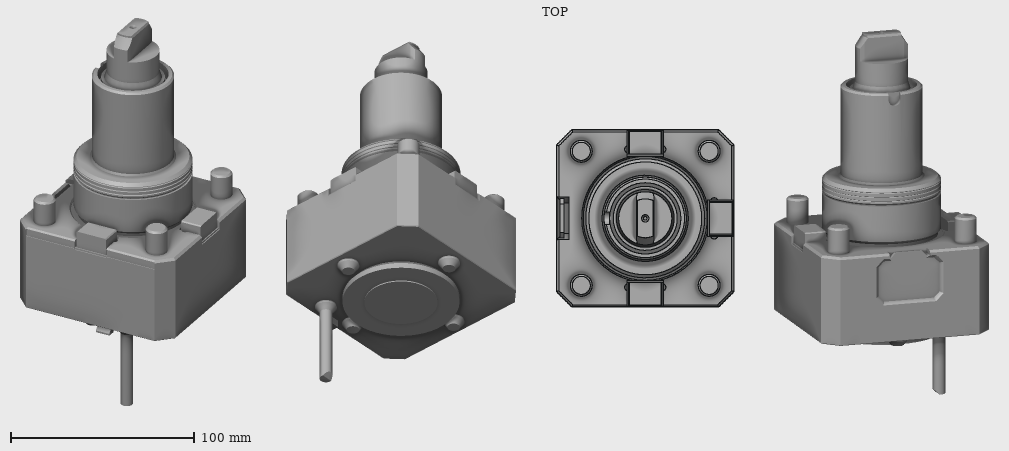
import cadquery as cq


OVERALL_HEIGHT = 210.3

EMBED = 2.0

HOUSING_WIDTH = 97.0
HOUSING_HEIGHT = 49.6
HOUSING_CORNER = 8.5
HOUSING_TOP_BEVEL = 1.3
HOUSING_BOTTOM_BEVEL = 0.5
HALF_WIDTH = HOUSING_WIDTH / 2
FRONT_LEDGE_DEPTH = 0.5
FRONT_LEDGE_HEIGHT = 5.0

RING_GROOVE_RADIUS = 33.9
RING_GROOVE_DEPTH = 1.0
RING_GROOVE_BEVEL = 0.8

TAB_WIDTH = 18.5
TAB_INNER = 35.1
TAB_OUTER = 47.3
TAB_RISE = 5.3
TAB_BEVEL = 0.6
TAB_CLEARANCE = 0.6
TAB_NOTCH_DEPTH = 5.7
TAB_FOOT_HEIGHT = 1.0
TAB_FOOT_REACH = 0.6
TAB_RELIEF_DIAMETER = 4.0
TAB_RELIEF_PLACE = 37.6

RECESS_WIDTH = 38.7
RECESS_BOTTOM = 20.8
RECESS_TOP = 47.0
RECESS_CORNER = 4.2
RECESS_DEPTH = 1.9
RECESS_BEVEL = 1.7
MOUTH_WIDTH = 23.3
MOUTH_DEPTH = 6.7
MOUTH_BEVEL = 3.4
COVER_TOP = 49.2
COVER_TOP_WIDTH = 15.5
COVER_THICKNESS = 2.0

PIN_DIAMETER = 12.0
PIN_X = 35.0
PIN_Y = 36.5
PIN_RISE = 14.3
PIN_BEVEL = 1.0

COLLAR_DIAMETER = 65.0
COLLAR_TOP = 72.0
COLLAR_FOOT_BEVEL = 1.7
COLLAR_FOOT_RISE = 0.6
COLLAR_FOOT = HOUSING_HEIGHT + COLLAR_FOOT_RISE
NECK_DEPTH = 1.3
NECK_HEIGHT = 0.5
FLANGE_BOTTOM = 73.4
FLANGE_TOP = 81.5
FLANGE_BEVEL = 1.7
RIB_GROOVE_DEPTH = 0.6
RIB_GROOVE_HALF_WIDTH = 0.32
RIB_GROOVE_COUNT = 3
RIB_PITCH = 2.3
RIB_GROOVE_START = 1.3
FIRST_RIB_GROOVE = FLANGE_BOTTOM + RIB_GROOVE_START
SHAFT_DIAMETER = 45.0
SHAFT_TOP = 132.7
SHAFT_BEVEL = 1.0
SHAFT_FOOT = 1.0

BORE_DIAMETER = 39.0
BORE_DEPTH = 7.0
HUB_DIAMETER = 35.0
HUB_TOP = 130.8
KEY_WIDTH = 7.0
KEY_DEPTH = 7.0

KNOB_DIAMETER = 29.0
KNOB_SKIRT_DIAMETER = 31.5
KNOB_SKIRT_RISE = 2.0
KNOB_SKIRT_TOP = SHAFT_TOP + KNOB_SKIRT_RISE
KNOB_SHOULDER = 147.6
BLADE_TOP = 161.7
BLADE_WIDTH = 9.7
BLADE_END_WIDTH = 8.2
BLADE_FLAT_LENGTH = 22.7
BLADE_TOP_LENGTH = 21.2
BLADE_TOP_BEVEL = 0.6
BLADE_TOP_BEVEL_HEIGHT = 1.3
BLADE_SLOPE_START = 154.8
BLADE_SLOPE_END = 160.7
CENTRE_MARK_DIAMETER = 4.0
CENTRE_MARK_TIP = 2.0
CENTRE_MARK_DEPTH = 1.3

CAP_NECK_DIAMETER = 58.9
CAP_NECK_DEPTH = 3.0
CAP_DIAMETER = 64.0
CAP_DEPTH = 6.0
CAP_BOSS_DIAMETER = 40.0
CAP_BOSS_DEPTH = 6.7
SCREW_DIAMETER = 12.0
SCREW_TIP_DIAMETER = 7.0
SCREW_RIM = 1.3
SCREW_HEIGHT = 4.5
SCREW_PLACE = 38.7
SCREW_OFFSET = -4.0
CABLE_DIAMETER = 7.0
CABLE_X = 17.7
CABLE_Y = -39.1
CABLE_LENGTH = OVERALL_HEIGHT - BLADE_TOP
CABLE_BEVEL = 2.7
CLIP_START = 3.2
CLIP_LENGTH = 8.5
CLIP_INNER = -43.1
CLIP_SHOULDER = -44.2
CLIP_OUTER = -47.7
CLIP_DEPTH = 4.2
CLIP_LIP = 1.0


def cylinder(diameter, bottom, top, x=0.0, y=0.0):
    """Upright cylinder between two heights."""
    base = cq.Workplane("XY", origin=(x, y, bottom))
    return base.circle(diameter / 2).extrude(top - bottom)


def block(x_min, x_max, y_min, y_max, z_min, z_max):
    """Axis-aligned block between its limits."""
    base = cq.Workplane("XY", origin=((x_min + x_max) / 2, (y_min + y_max) / 2, z_min))
    return base.rect(x_max - x_min, y_max - y_min).extrude(z_max - z_min)


def revolved(profile):
    """Solid of revolution about Z from (radius, height) points."""
    return cq.Workplane("XZ").polyline(profile).close().revolve(360, (0, 0, 0), (0, 1, 0))


def turned(solid, angle):
    """Solid rotated about the Z axis."""
    return solid.rotate((0, 0, 0), (0, 0, 1), angle)


def make_housing():
    body = block(-HALF_WIDTH, HALF_WIDTH, -HALF_WIDTH, HALF_WIDTH, 0, HOUSING_HEIGHT)
    body = body.edges("|Z").chamfer(HOUSING_CORNER)
    body = body.faces(">Z").edges().chamfer(HOUSING_TOP_BEVEL)
    body = body.faces("<Z").edges().chamfer(HOUSING_BOTTOM_BEVEL)
    ledge_half = HALF_WIDTH - HOUSING_CORNER
    ledge = block(
        -ledge_half, ledge_half,
        -HALF_WIDTH, FRONT_LEDGE_DEPTH - HALF_WIDTH,
        HOUSING_HEIGHT - FRONT_LEDGE_HEIGHT, HOUSING_HEIGHT,
    )
    floor = HOUSING_HEIGHT - RING_GROOVE_DEPTH
    groove = revolved([
        (0, floor),
        (RING_GROOVE_RADIUS, floor),
        (RING_GROOVE_RADIUS, HOUSING_HEIGHT - RING_GROOVE_BEVEL),
        (RING_GROOVE_RADIUS + RING_GROOVE_BEVEL, HOUSING_HEIGHT),
        (0, HOUSING_HEIGHT),
    ])
    return body.cut(ledge).cut(groove)


def make_tab_notch():
    """Clearance for the tab on the -Y side, with round reliefs near its inner end."""
    half = TAB_WIDTH / 2 + TAB_CLEARANCE
    bottom = HOUSING_HEIGHT - TAB_NOTCH_DEPTH
    notch = block(-half, half, -HALF_WIDTH, -RING_GROOVE_RADIUS, bottom, HOUSING_HEIGHT)
    for side in (-1, 1):
        x = side * TAB_WIDTH / 2
        notch = notch.union(cylinder(TAB_RELIEF_DIAMETER, bottom, HOUSING_HEIGHT, x, -TAB_RELIEF_PLACE))
    return notch


def make_tab():
    """Tab on the -Y side; its wider foot rests on the notch floor."""
    bottom = HOUSING_HEIGHT - TAB_NOTCH_DEPTH
    half = TAB_WIDTH / 2
    tab = block(-half, half, -TAB_OUTER, -TAB_INNER, bottom, HOUSING_HEIGHT + TAB_RISE)
    tab = tab.faces(">Z").edges("|Y").chamfer(TAB_BEVEL)
    foot_half = half + TAB_CLEARANCE
    foot = block(
        -foot_half, foot_half,
        -TAB_OUTER - TAB_FOOT_REACH, -TAB_INNER,
        bottom, bottom + TAB_FOOT_HEIGHT,
    )
    return tab.union(foot)


def make_cover_recess():
    """Rounded side recess with a mouth open to the top; the cover stands in the mouth."""
    face = cq.Workplane("YZ", origin=(-HALF_WIDTH, 0, (RECESS_BOTTOM + RECESS_TOP) / 2))
    recess = face.rect(RECESS_WIDTH, RECESS_TOP - RECESS_BOTTOM).extrude(RECESS_DEPTH)
    recess = recess.edges("|X").chamfer(RECESS_CORNER)
    recess = recess.faces(">X").edges().chamfer(RECESS_BEVEL)
    mouth_floor = RECESS_TOP - MOUTH_BEVEL
    mouth = block(
        -HALF_WIDTH, MOUTH_DEPTH - HALF_WIDTH,
        -MOUTH_WIDTH / 2, MOUTH_WIDTH / 2,
        mouth_floor, HOUSING_HEIGHT,
    )
    mouth = mouth.edges("|X and <Z").chamfer(MOUTH_BEVEL)
    cover = [
        (-MOUTH_WIDTH / 2, mouth_floor),
        (-MOUTH_WIDTH / 2, RECESS_TOP - RECESS_BEVEL),
        (-COVER_TOP_WIDTH / 2, COVER_TOP),
    ]
    cover += [(-y, z) for y, z in reversed(cover)]
    plate = cq.Workplane("YZ", origin=(RECESS_DEPTH - HALF_WIDTH, 0, 0))
    plate = plate.polyline(cover).close().extrude(COVER_THICKNESS)
    return recess.union(mouth).cut(plate)


def make_pins():
    pin = cylinder(PIN_DIAMETER, HOUSING_HEIGHT - EMBED, HOUSING_HEIGHT + PIN_RISE)
    pin = pin.faces(">Z").chamfer(PIN_BEVEL)
    pins = cq.Workplane("XY")
    for x in (-PIN_X, PIN_X):
        for y in (-PIN_Y, PIN_Y):
            pins = pins.add(pin.translate((x, y, 0)))
    return pins.combine()


def make_turret():
    """Collar, ribbed flange and shaft as one turned body."""
    outer = COLLAR_DIAMETER / 2
    shaft = SHAFT_DIAMETER / 2
    profile = [
        (0, HOUSING_HEIGHT - EMBED),
        (outer - COLLAR_FOOT_BEVEL, HOUSING_HEIGHT - EMBED),
        (outer - COLLAR_FOOT_BEVEL, COLLAR_FOOT),
        (outer, COLLAR_FOOT + COLLAR_FOOT_BEVEL),
        (outer, COLLAR_TOP),
        (outer - NECK_DEPTH, COLLAR_TOP),
        (outer - NECK_DEPTH, COLLAR_TOP + NECK_HEIGHT),
        (outer, FLANGE_BOTTOM),
    ]
    for index in range(RIB_GROOVE_COUNT):
        middle = FIRST_RIB_GROOVE + index * RIB_PITCH
        profile += [
            (outer, middle - RIB_GROOVE_HALF_WIDTH),
            (outer - RIB_GROOVE_DEPTH, middle),
            (outer, middle + RIB_GROOVE_HALF_WIDTH),
        ]
    profile += [
        (outer, FLANGE_TOP - FLANGE_BEVEL),
        (outer - FLANGE_BEVEL, FLANGE_TOP),
        (shaft + SHAFT_FOOT, FLANGE_TOP),
        (shaft, FLANGE_TOP + SHAFT_FOOT),
        (shaft, SHAFT_TOP - SHAFT_BEVEL),
        (shaft - SHAFT_BEVEL, SHAFT_TOP),
        (BORE_DIAMETER / 2, SHAFT_TOP),
        (BORE_DIAMETER / 2, SHAFT_TOP - BORE_DEPTH),
        (HUB_DIAMETER / 2, SHAFT_TOP - BORE_DEPTH),
        (HUB_DIAMETER / 2, HUB_TOP),
        (0, HUB_TOP),
    ]
    return revolved(profile)


def make_key_slot():
    """Round-ended slot through the -X wall of the shaft rim."""
    centre = SHAFT_TOP - KEY_DEPTH + KEY_WIDTH / 2
    wall = (SHAFT_DIAMETER - BORE_DIAMETER) / 2
    face = cq.Workplane("YZ", origin=(-SHAFT_DIAMETER / 2, 0, centre))
    end = face.circle(KEY_WIDTH / 2).extrude(wall)
    half = KEY_WIDTH / 2
    return end.union(face.rect(KEY_WIDTH, KEY_WIDTH).extrude(wall).translate((0, 0, half)))


def make_knob():
    root = HUB_TOP
    body = cylinder(KNOB_DIAMETER, root, KNOB_SHOULDER)
    skirt = revolved([
        (0, root),
        (KNOB_SKIRT_DIAMETER / 2, root),
        (KNOB_DIAMETER / 2, KNOB_SKIRT_TOP),
        (0, KNOB_SKIRT_TOP),
    ])
    reach = KNOB_DIAMETER / 2
    plan = [
        (BLADE_END_WIDTH / 2, -reach),
        (BLADE_WIDTH / 2, -BLADE_FLAT_LENGTH / 2),
        (BLADE_WIDTH / 2, BLADE_FLAT_LENGTH / 2),
        (BLADE_END_WIDTH / 2, reach),
    ]
    plan += [(-x, y) for x, y in reversed(plan)]
    blade = cq.Workplane("XY", origin=(0, 0, root)).polyline(plan).close().extrude(BLADE_TOP - root)
    blade = blade.faces(">Z").edges("|Y").chamfer(BLADE_TOP_BEVEL_HEIGHT, BLADE_TOP_BEVEL)
    envelope = revolved([
        (0, root),
        (reach, root),
        (reach, BLADE_SLOPE_START),
        (BLADE_TOP_LENGTH / 2, BLADE_SLOPE_END),
        (BLADE_TOP_LENGTH / 2, BLADE_TOP),
        (0, BLADE_TOP),
    ])
    blade = blade.intersect(envelope)
    mark = revolved([
        (0, BLADE_TOP - CENTRE_MARK_DEPTH),
        (CENTRE_MARK_TIP / 2, BLADE_TOP - CENTRE_MARK_DEPTH),
        (CENTRE_MARK_DIAMETER / 2, BLADE_TOP),
        (0, BLADE_TOP),
    ])
    return body.union(skirt).union(blade).cut(mark)


def make_cap():
    cap = cylinder(CAP_NECK_DIAMETER, -CAP_NECK_DEPTH, EMBED)
    cap = cap.union(cylinder(CAP_DIAMETER, -CAP_DEPTH, -CAP_NECK_DEPTH))
    return cap.union(cylinder(CAP_BOSS_DIAMETER, -CAP_BOSS_DEPTH, -CAP_DEPTH))


def make_screw():
    """Screw head hanging below the housing, tapering downwards."""
    return revolved([
        (0, EMBED),
        (SCREW_DIAMETER / 2, EMBED),
        (SCREW_DIAMETER / 2, -SCREW_RIM),
        (SCREW_TIP_DIAMETER / 2, -SCREW_HEIGHT),
        (0, -SCREW_HEIGHT),
    ])


def make_screws():
    """One screw beside the middle of each side."""
    screw = make_screw().translate((SCREW_OFFSET, -SCREW_PLACE, 0))
    screws = cq.Workplane("XY")
    for step in range(4):
        screws = screws.add(turned(screw, 90 * step))
    return screws.combine()


def make_clip():
    """Wedge-shaped cable clip under the -Y edge."""
    outline = [
        (CLIP_INNER, EMBED),
        (CLIP_INNER, -CLIP_DEPTH),
        (CLIP_OUTER, -CLIP_DEPTH),
        (CLIP_OUTER, CLIP_LIP - CLIP_DEPTH),
        (CLIP_SHOULDER, EMBED),
    ]
    base = cq.Workplane("YZ", origin=(CLIP_START, 0, 0))
    return base.polyline(outline).close().extrude(CLIP_LENGTH)


def make_cable():
    """Hanging cable with a gland shaped like a screw head; the lower end is bevelled on the +Y side."""
    radius = CABLE_DIAMETER / 2
    cable = cylinder(CABLE_DIAMETER, -CABLE_LENGTH, EMBED)
    corner = [
        (radius, -CABLE_LENGTH),
        (radius - CABLE_BEVEL, -CABLE_LENGTH),
        (radius, CABLE_BEVEL - CABLE_LENGTH),
    ]
    cable = cable.cut(cq.Workplane("YZ").polyline(corner).close().extrude(radius, both=True))
    return cable.union(make_screw()).translate((CABLE_X, CABLE_Y, 0))


housing = make_housing().union(make_pins()).union(make_cap())
housing = housing.union(make_screws()).union(make_cable()).union(make_clip())
for angle in (0, 90, 180):
    housing = housing.cut(turned(make_tab_notch(), angle))
    housing = housing.union(turned(make_tab(), angle))
housing = housing.cut(make_cover_recess())

turret = make_turret().cut(make_key_slot()).union(make_knob())

result = housing.union(turret)